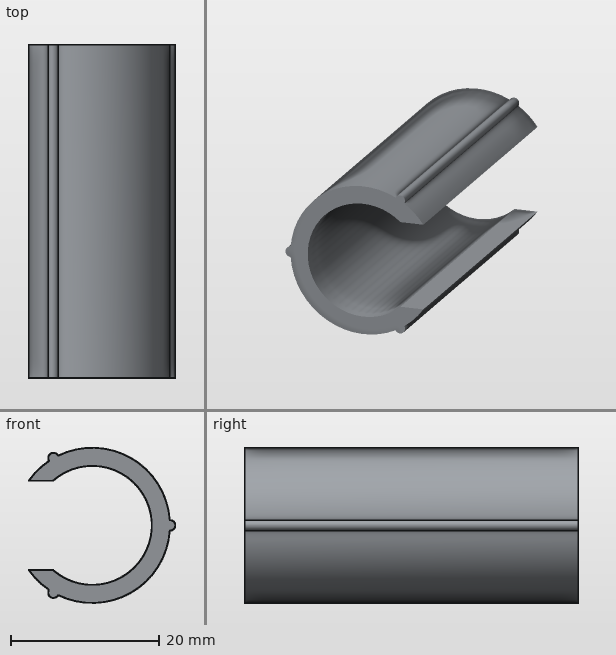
import cadquery as cq
import math

length = 45.0
outer_radius = 10.5
inner_radius = 8.0
slot_width = 12.0
bead_radius = 0.7
bead_angles = (0, 120, 240)


def cylinder(radius, x=0, z=0):
    """Cylinder parallel to Y, centred along the length."""
    return cq.Workplane("XZ").center(x, z).circle(radius).extrude(length / 2, both=True)


tube = cylinder(outer_radius).cut(cylinder(inner_radius))
slot = cq.Workplane("XY").box(outer_radius, length, slot_width).translate((-outer_radius / 2, 0, 0))
result = tube.cut(slot)

for angle in bead_angles:
    direction = math.radians(angle)
    bead = cylinder(bead_radius, outer_radius * math.cos(direction), outer_radius * math.sin(direction))
    result = result.union(bead)